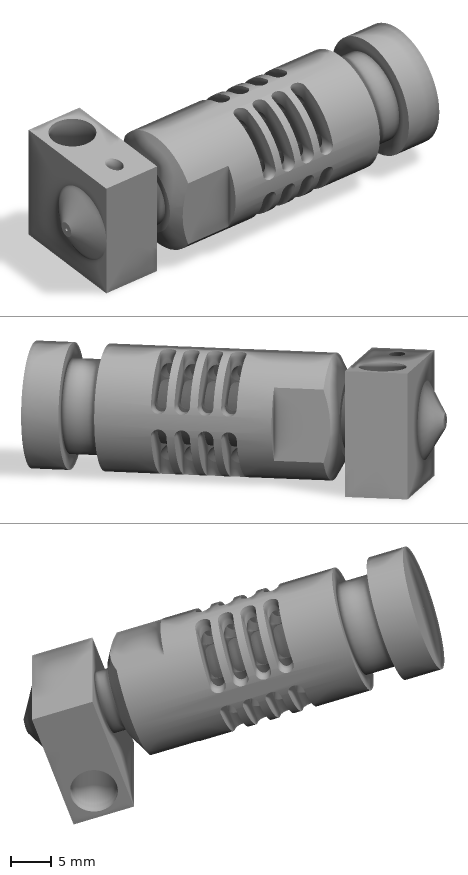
import cadquery as cq
import math


TOTAL_LENGTH = 52.4
NOZZLE_LENGTH = 2.45
BLOCK_LENGTH = 7.95
NECK_LENGTH = 2.0
FLAT_LENGTH = 8.0
FLANGE_LENGTH = 4.75
GROOVE_LENGTH = 4.55

BODY_DIAMETER = 16.0
GROOVE_DIAMETER = 12.0
NOSE_DIAMETER = 10.0
NECK_DIAMETER = 8.0
FLAT_SPACING = 13.0
NOSE_ANGLE = 30.0

SLOT_WIDTH = 2.0
SLOT_PITCH = 3.0
SLOT_ROWS = 4
SLOTS_PER_ROW = 4
FIRST_SLOT_Y = 25.95
WEB_WIDTH = 2.0
CORE_DIAMETER = 8.5
VENT_OFFSET = 5.2

BLOCK_WIDTH = 16.0
NOZZLE_BASE_DIAMETER = 9.95
NOZZLE_TIP_DIAMETER = 2.0
BORE_DIAMETER = 0.4
HEATER_HOLE_DIAMETER = 5.95
HEATER_HOLE_X = -7.25
SENSOR_HOLE_DIAMETER = 2.0
SENSOR_HOLE_X = 1.4
SENSOR_HOLE_DEPTH = 3.15
SENSOR_HOLE_TILT = 45.0

BLOCK_FRONT_Y = NOZZLE_LENGTH
BLOCK_BACK_Y = BLOCK_FRONT_Y + BLOCK_LENGTH
BLOCK_MIDDLE_Y = BLOCK_FRONT_Y + BLOCK_LENGTH / 2
BLOCK_RIGHT_X = NOZZLE_BASE_DIAMETER / 2
NOSE_Y = BLOCK_BACK_Y + NECK_LENGTH
NOSE_LENGTH = (BODY_DIAMETER - NOSE_DIAMETER) / 2 * math.tan(math.radians(NOSE_ANGLE))
FLANGE_Y = TOTAL_LENGTH - FLANGE_LENGTH
GROOVE_Y = FLANGE_Y - GROOVE_LENGTH


def revolve_about_y(profile):
    """Turn (radius, y) points into a solid of revolution about the Y axis."""
    return cq.Workplane("XY").polyline(profile).close().revolve(360, (0, 0, 0), (0, 1, 0))


def cylinder(diameter, length, start, direction):
    """A cylinder that begins at start and runs along direction."""
    return cq.Workplane(cq.Solid.makeCylinder(diameter / 2, length, cq.Vector(*start), cq.Vector(*direction)))


def bore():
    """The filament bore through the whole part."""
    return cylinder(BORE_DIAMETER, TOTAL_LENGTH, (0, 0, 0), (0, 1, 0))


def turned_sink():
    """The heat sink with its neck, nose cone, mounting groove and flange."""
    body_radius = BODY_DIAMETER / 2
    groove_radius = GROOVE_DIAMETER / 2
    neck_radius = NECK_DIAMETER / 2
    return revolve_about_y([
        (0, BLOCK_BACK_Y),
        (neck_radius, BLOCK_BACK_Y),
        (neck_radius, NOSE_Y),
        (NOSE_DIAMETER / 2, NOSE_Y),
        (body_radius, NOSE_Y + NOSE_LENGTH),
        (body_radius, GROOVE_Y),
        (groove_radius, GROOVE_Y),
        (groove_radius, FLANGE_Y),
        (body_radius, FLANGE_Y),
        (body_radius, TOTAL_LENGTH),
        (0, TOTAL_LENGTH),
    ])


def wrench_flats():
    """Two blocks of waste, one outside each wrench flat."""
    waste = BODY_DIAMETER
    offset = (FLAT_SPACING + waste) / 2
    return (
        cq.Workplane("XY")
        .pushPoints([(-offset, NOSE_Y + FLAT_LENGTH / 2), (offset, NOSE_Y + FLAT_LENGTH / 2)])
        .box(waste, FLAT_LENGTH, BODY_DIAMETER)
    )


def round_ended_cut(slot_y):
    """A cut along Z over the +X side, round at its inner end beside the web."""
    inner_x = WEB_WIDTH / 2
    round_x = inner_x + SLOT_WIDTH / 2
    half_width = SLOT_WIDTH / 2
    return (
        cq.Workplane("XY")
        .workplane(offset=-BODY_DIAMETER)
        .moveTo(BODY_DIAMETER, slot_y - half_width)
        .lineTo(round_x, slot_y - half_width)
        .threePointArc((inner_x, slot_y), (round_x, slot_y + half_width))
        .lineTo(BODY_DIAMETER, slot_y + half_width)
        .close()
        .extrude(2 * BODY_DIAMETER)
    )


def slot_row(slot_y):
    """Four slots around the core, and the vent holes that pierce the webs between them."""
    axis_start = (0, 0, 0)
    axis_end = (0, 1, 0)
    slot_angle = 360 / SLOTS_PER_ROW
    cut = round_ended_cut(slot_y)
    core = cylinder(CORE_DIAMETER, TOTAL_LENGTH, axis_start, axis_end)
    slot = cut.intersect(cut.rotate(axis_start, axis_end, -slot_angle)).cut(core)
    vent = cylinder(
        SLOT_WIDTH, 2 * BODY_DIAMETER, (VENT_OFFSET, slot_y, -BODY_DIAMETER), (0, 0, 1)
    )
    tools = []
    for index in range(SLOTS_PER_ROW):
        for tool in (slot, vent):
            tools.append(tool.rotate(axis_start, axis_end, slot_angle * index))
    return tools


def make_heat_sink():
    sink = turned_sink().cut(wrench_flats())
    for row in range(SLOT_ROWS):
        for tool in slot_row(FIRST_SLOT_Y + row * SLOT_PITCH):
            sink = sink.cut(tool)
    return sink.cut(bore())


def heater_hole():
    """The hole for the heater cartridge, through the block along Z."""
    return cylinder(
        HEATER_HOLE_DIAMETER, BLOCK_WIDTH, (HEATER_HOLE_X, BLOCK_MIDDLE_Y, -BLOCK_WIDTH / 2), (0, 0, 1)
    )


def sensor_hole():
    """The tilted blind hole for the temperature sensor, in the top face."""
    tilt = math.radians(SENSOR_HOLE_TILT)
    run_out = SENSOR_HOLE_DIAMETER
    direction = (math.sin(tilt), 0, -math.cos(tilt))
    start = (
        SENSOR_HOLE_X - run_out * direction[0],
        BLOCK_MIDDLE_Y,
        BLOCK_WIDTH / 2 - run_out * direction[2],
    )
    return cylinder(SENSOR_HOLE_DIAMETER, run_out + SENSOR_HOLE_DEPTH, start, direction)


def make_heater_block():
    block = cq.Workplane("XY").box(BLOCK_WIDTH, BLOCK_LENGTH, BLOCK_WIDTH).translate(
        (BLOCK_RIGHT_X - BLOCK_WIDTH / 2, BLOCK_MIDDLE_Y, 0)
    )
    nozzle = revolve_about_y([
        (0, 0),
        (NOZZLE_TIP_DIAMETER / 2, 0),
        (NOZZLE_BASE_DIAMETER / 2, BLOCK_FRONT_Y),
        (0, BLOCK_FRONT_Y),
    ])
    return block.union(nozzle).cut(heater_hole()).cut(sensor_hole()).cut(bore())


heat_sink = make_heat_sink()
heater_block = make_heater_block()

result = cq.Compound.makeCompound([heat_sink.val(), heater_block.val()])